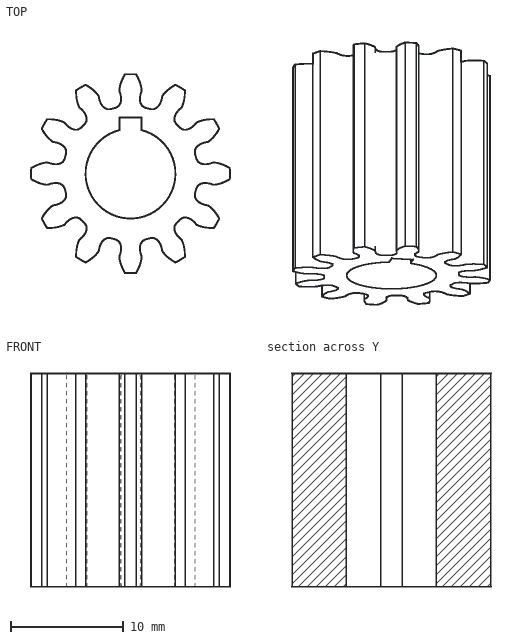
import cadquery as cq
import math

inch = 25.4
tooth_count = 12
module = inch / 20
pressure_angle = math.radians(14.5)
face_width = 0.75 * inch
addendum = module
dedendum = 1.25 * module
rack_tip_rounding = 0.3 * module

bore_diameter = 8.0
key_width = 1.95
key_top = 5.0

curve_steps = 12
bisection_rounds = 40
travel_limit = 4 * module

pitch_radius = tooth_count * module / 2
base_radius = pitch_radius * math.cos(pressure_angle)
tip_radius = pitch_radius + addendum
root_radius = pitch_radius - dedendum
tooth_pitch_angle = 2 * math.pi / tooth_count
rack_tip_half_land = (
    math.pi * module / 4
    - dedendum * math.tan(pressure_angle)
    - rack_tip_rounding * math.tan((math.pi / 2 - pressure_angle) / 2)
)


def polar(radius, angle):
    """Point at an angle measured from +Y, positive toward +X."""
    return (radius * math.sin(angle), radius * math.cos(angle))


def involute(angle):
    return math.tan(angle) - angle


def flank_angle(radius):
    """Angle from the middle of a gap to its involute flank, at a radius."""
    local_pressure_angle = math.acos(base_radius / radius)
    return tooth_pitch_angle / 4 - involute(pressure_angle) + involute(local_pressure_angle)


def root_curve(travel):
    """Radius and angle on the root trochoid.

    The rounded rack tip rolls past the gear; travel is how far the centre of the rounding
    has moved beyond the point where it is deepest.
    """
    centre_y = root_radius + rack_tip_rounding
    reach = 1 + rack_tip_rounding / math.hypot(travel, centre_y - pitch_radius)
    contact_x = travel * reach
    contact_y = pitch_radius + (centre_y - pitch_radius) * reach
    gear_turn = (travel - rack_tip_half_land) / pitch_radius
    return math.hypot(contact_x, contact_y), math.atan2(contact_x, contact_y) - gear_turn


def undercut_travel():
    """Travel at which the root trochoid crosses the involute flank."""
    inside = 0.0
    outside = travel_limit
    for _ in range(bisection_rounds):
        middle = (inside + outside) / 2
        radius, angle = root_curve(middle)
        if radius < base_radius or angle > flank_angle(radius):
            inside = middle
        else:
            outside = middle
    return inside


def make_tooth_gap():
    """Cutter for the gap centred on +Y."""
    last_travel = undercut_travel()
    root = [polar(*root_curve(last_travel * i / curve_steps)) for i in range(curve_steps + 1)]
    undercut_radius = root_curve(last_travel)[0]
    radius_step = (tip_radius - undercut_radius) / curve_steps
    flank_radii = [undercut_radius + i * radius_step for i in range(curve_steps + 1)]
    flank = [polar(r, flank_angle(r)) for r in flank_radii]
    right_side = root + flank[1:]
    left_side = [(-x, y) for x, y in reversed(right_side)]
    outer_y = tip_radius + addendum
    return (
        cq.Workplane("XY")
        .moveTo(*left_side[0])
        .spline(left_side[1:] + [(0, root_radius)] + right_side, includeCurrent=True)
        .lineTo(flank[-1][0], outer_y)
        .lineTo(-flank[-1][0], outer_y)
        .close()
        .extrude(face_width)
    )


def make_toothed_blank():
    blank = cq.Workplane("XY").circle(tip_radius).extrude(face_width)
    gap = make_tooth_gap()
    for i in range(tooth_count):
        turn = math.degrees((i + 0.5) * tooth_pitch_angle)
        blank = blank.cut(gap.rotate((0, 0, 0), (0, 0, 1), turn))
    return blank


def make_keyed_bore():
    bore = cq.Workplane("XY").circle(bore_diameter / 2).extrude(face_width)
    keyway = cq.Workplane("XY").center(0, key_top / 2).rect(key_width, key_top).extrude(face_width)
    return bore.union(keyway)


result = make_toothed_blank().cut(make_keyed_bore())